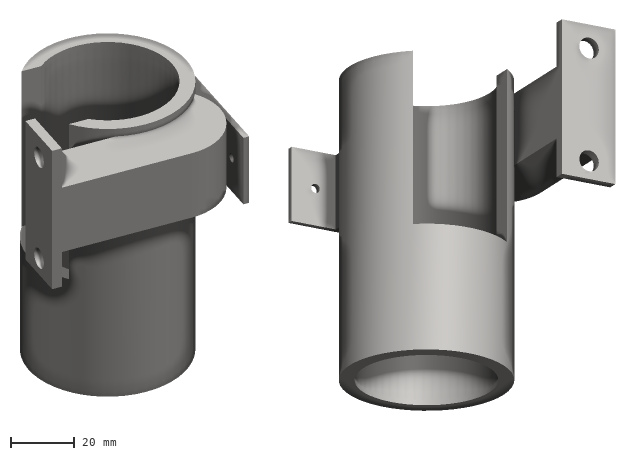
import cadquery as cq

tube_diameter = 55.0
bore_diameter = 45.0
tube_height = 99.9
window_width = 33.8
window_bottom = 42.0

rear_plate_width = 55.0
rear_plate_thickness = 2.0
rear_plate_height = 24.8
rear_plate_bottom = 59.2
rear_plate_back = 36.7
rear_plate_center_x = -1.6
rear_block_width = 24.9
rear_block_center_x = -0.9
rear_hole_diameter = 3.0
rear_hole_spacing = 38.0

arm_width = 19.1
arm_height = 24.0
arm_center_z = 85.1
arm_outer_x = 44.8
arm_round_center_y = 7.6
front_plate_front = -41.1
front_plate_thickness = 3.4
front_plate_height = 51.6
front_plate_top = 111.8
front_hole_diameter = 6.9
front_hole_spacing = 37.7
front_hole_edge_distance = 9.4

tube_radius = tube_diameter / 2
arm_inner_x = arm_outer_x - arm_width
front_hole_x = arm_outer_x - front_hole_edge_distance
front_plate_back = front_plate_front + front_plate_thickness
front_plate_center_z = front_plate_top - front_plate_height / 2
rear_plate_center_z = rear_plate_bottom + rear_plate_height / 2


def box_between(x_range, y_range, z_range):
    """Box filling the given ranges along X, Y and Z."""
    (x0, x1), (y0, y1), (z0, z1) = x_range, y_range, z_range
    return cq.Workplane("XY").box(x1 - x0, y1 - y0, z1 - z0, centered=False).translate((x0, y0, z0))


def centered_range(center, length):
    return center - length / 2, center + length / 2


def hole_along_y(diameter, x, z, y_range):
    """Cylinder that cuts a hole through y_range."""
    y0, y1 = y_range
    hole = cq.Workplane("XZ").circle(diameter / 2).extrude(y0 - y1)
    return hole.translate((x, y0, z))


def make_rear_mount():
    z_range = (rear_plate_bottom, rear_plate_bottom + rear_plate_height)
    plate_y = (rear_plate_back - rear_plate_thickness, rear_plate_back)
    plate = box_between(centered_range(rear_plate_center_x, rear_plate_width), plate_y, z_range)
    block = box_between(centered_range(rear_block_center_x, rear_block_width), (0, plate_y[0]), z_range)
    mount = plate.union(block)
    for hole_x in centered_range(rear_plate_center_x, rear_hole_spacing):
        mount = mount.cut(hole_along_y(rear_hole_diameter, hole_x, rear_plate_center_z, plate_y))
    return mount


def make_arm():
    z_range = centered_range(arm_center_z, arm_height)
    bar = box_between((arm_inner_x, arm_outer_x), (front_plate_back, arm_round_center_y), z_range)
    rounded_end = (
        cq.Workplane("XY", origin=(arm_inner_x, arm_round_center_y, z_range[0]))
        .moveTo(arm_width, 0)
        .threePointArc((0, arm_width), (-arm_width, 0))
        .close()
        .extrude(arm_height)
    )
    return bar.union(rounded_end)


def make_front_plate():
    y_range = (front_plate_front, front_plate_back)
    z_range = centered_range(front_plate_center_z, front_plate_height)
    plate = box_between((arm_inner_x, arm_outer_x), y_range, z_range)
    for hole_z in centered_range(arm_center_z, front_hole_spacing):
        plate = plate.cut(hole_along_y(front_hole_diameter, front_hole_x, hole_z, y_range))
    return plate


tube = cq.Workplane("XY").circle(tube_radius).extrude(tube_height)
bore = cq.Workplane("XY").circle(bore_diameter / 2).extrude(tube_height)
window = box_between(centered_range(0, window_width), (-tube_radius, 0), (window_bottom, tube_height))

result = tube.union(make_rear_mount()).union(make_arm()).union(make_front_plate()).cut(bore).cut(window)